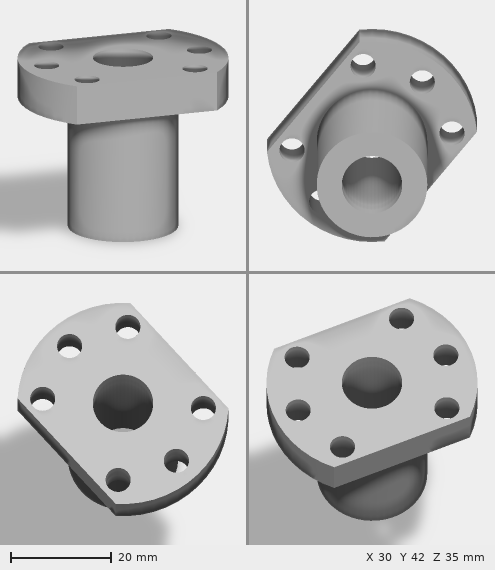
import cadquery as cq
import math

flange_diameter = 42.0
flange_width = 30.0
flange_thickness = 8.0
total_height = 35.0
barrel_diameter = 22.0
bore_diameter = 12.0
bolt_circle_diameter = 32.0
bolt_hole_diameter = 5.0
bolt_angles = [45, 90, 135, 225, 270, 315]

barrel_length = total_height - flange_thickness


def make_flange():
    """Round flange with two flats facing -X and +X, on top of the barrel."""
    disc = cq.Workplane("XY").circle(flange_diameter / 2).extrude(flange_thickness)
    flats = cq.Workplane("XY").rect(flange_width, flange_diameter).extrude(flange_thickness)
    return disc.intersect(flats).translate((0, 0, barrel_length))


def make_bolt_holes():
    """Through-hole cutters on the bolt circle, three towards each round end."""
    bolt_radius = bolt_circle_diameter / 2
    centres = []
    for angle in bolt_angles:
        turn = math.radians(angle)
        centres.append((bolt_radius * math.cos(turn), bolt_radius * math.sin(turn)))
    plane = cq.Workplane("XY").workplane(offset=barrel_length)
    return plane.pushPoints(centres).circle(bolt_hole_diameter / 2).extrude(flange_thickness)


barrel = cq.Workplane("XY").circle(barrel_diameter / 2).extrude(barrel_length)

bore = cq.Workplane("XY").circle(bore_diameter / 2).extrude(total_height)

result = barrel.union(make_flange()).cut(bore).cut(make_bolt_holes())